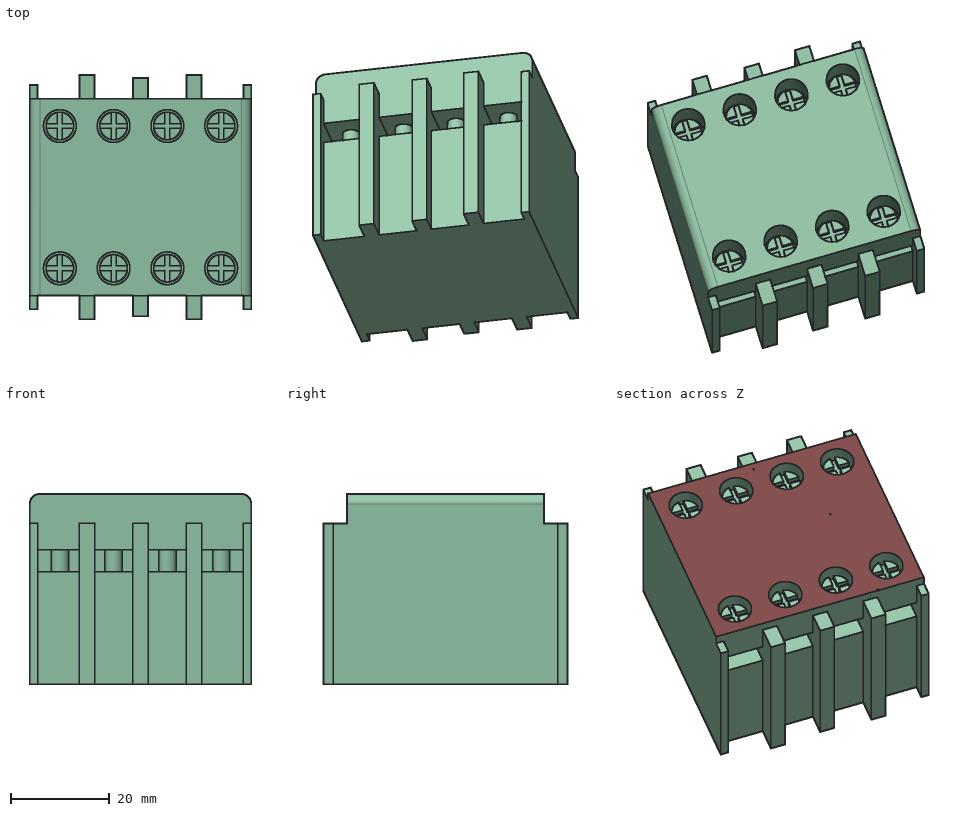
import cadquery as cq

WIDTH = 44.8
BODY_DEPTH = 39.8
HEIGHT = 38.5
TOP_EDGE_RADIUS = 2.05

BARRIER_HEIGHT = 32.55
RIB_WIDTH = 3.05
RIB_PITCH = 10.8
OUTER_RIB_SPAN = 49.4
MIDDLE_RIB_SPAN = 48.2
SIDE_PLATE_WIDTH = 1.65
SIDE_PLATE_SPAN = 45.35

OPENING_FLOOR = 22.75
OPENING_CEILING = 27.15
OPENING_DEPTH = 8.9

SCREW_PITCH = 10.85
SCREW_ROW_SPACING = 28.75
WELL_DIAMETER = 6.6
WELL_DEPTH = 7.9
HEAD_DIAMETER = 5.6
HEAD_HEIGHT = 2.0
SHANK_DIAMETER = 3.5
DRIVER_SLOT_WIDTH = 1.0
DRIVER_SLOT_DEPTH = 1.0

WELL_FLOOR = HEIGHT - WELL_DEPTH
HEAD_TOP = WELL_FLOOR + HEAD_HEIGHT

SCREW_CENTERS = [
    (column * SCREW_PITCH, row * SCREW_ROW_SPACING / 2)
    for column in (-1.5, -0.5, 0.5, 1.5)
    for row in (-1, 1)
]


def upright_box(x_min, x_max, y_min, y_max, z_min, z_max):
    """Box given by its limits along each axis."""
    return (
        cq.Workplane("XY")
        .box(x_max - x_min, y_max - y_min, z_max - z_min, centered=False)
        .translate((x_min, y_min, z_min))
    )


def cylinders(diameter, z_min, z_max):
    """One upright cylinder at every screw position."""
    return (
        cq.Workplane("XY", origin=(0, 0, z_min))
        .pushPoints(SCREW_CENTERS)
        .circle(diameter / 2)
        .extrude(z_max - z_min)
    )


def barrier(x_min, x_max, span):
    """Wall running through the housing and projecting from both faces."""
    return upright_box(x_min, x_max, -span / 2, span / 2, 0, BARRIER_HEIGHT)


def make_housing():
    block = cq.Workplane("XY").box(WIDTH, BODY_DEPTH, HEIGHT, centered=(True, True, False))
    return block.edges("|Y and >Z").fillet(TOP_EDGE_RADIUS)


def add_barriers(body):
    half_width = WIDTH / 2
    body = body.union(barrier(-half_width, -half_width + SIDE_PLATE_WIDTH, SIDE_PLATE_SPAN))
    body = body.union(barrier(half_width - SIDE_PLATE_WIDTH, half_width, SIDE_PLATE_SPAN))
    for position, span in ((-1, OUTER_RIB_SPAN), (0, MIDDLE_RIB_SPAN), (1, OUTER_RIB_SPAN)):
        center = position * RIB_PITCH
        body = body.union(barrier(center - RIB_WIDTH / 2, center + RIB_WIDTH / 2, span))
    return body


def cut_wire_openings(body):
    """Open a blind pocket in each bay between neighbouring barriers, front and back."""
    inner_side = WIDTH / 2 - SIDE_PLATE_WIDTH
    rib_near = RIB_PITCH - RIB_WIDTH / 2
    rib_far = RIB_PITCH + RIB_WIDTH / 2
    bays = (
        (-inner_side, -rib_far),
        (-rib_near, -RIB_WIDTH / 2),
        (RIB_WIDTH / 2, rib_near),
        (rib_far, inner_side),
    )
    face = BODY_DEPTH / 2
    inner = face - OPENING_DEPTH
    for x_min, x_max in bays:
        for y_min, y_max in ((-face, -inner), (inner, face)):
            body = body.cut(upright_box(x_min, x_max, y_min, y_max, OPENING_FLOOR, OPENING_CEILING))
    return body


def add_screws(body):
    """Sink the wells, then add cross-slotted heads and the shanks crossing the openings."""
    body = body.cut(cylinders(WELL_DIAMETER, WELL_FLOOR, HEIGHT))
    body = body.union(cylinders(SHANK_DIAMETER, OPENING_FLOOR, OPENING_CEILING))
    heads = cylinders(HEAD_DIAMETER, WELL_FLOOR, HEAD_TOP)
    slot_floor = cq.Workplane("XY", origin=(0, 0, HEAD_TOP - DRIVER_SLOT_DEPTH)).pushPoints(SCREW_CENTERS)
    for length_x, length_y in (
        (WELL_DIAMETER, DRIVER_SLOT_WIDTH),
        (DRIVER_SLOT_WIDTH, WELL_DIAMETER),
    ):
        heads = heads.cut(slot_floor.rect(length_x, length_y).extrude(DRIVER_SLOT_DEPTH))
    return body.union(heads)


result = add_screws(cut_wire_openings(add_barriers(make_housing())))